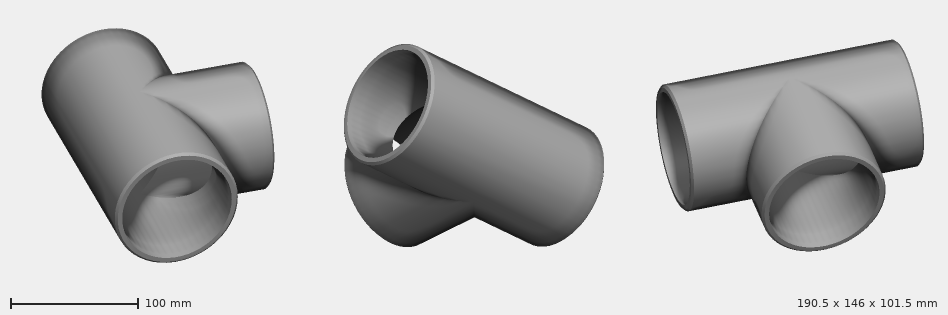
import cadquery as cq

run_length = 190.5
branch_reach = run_length / 2
outer_diameter = 101.5
bore_diameter = 90.3
end_chamfer = 2.0


def cylinder_along_run(diameter):
    return cq.Workplane("YZ").circle(diameter / 2).extrude(run_length / 2, both=True)


def cylinder_along_branch(diameter):
    return cq.Workplane("XZ").circle(diameter / 2).extrude(-branch_reach)


run = cylinder_along_run(outer_diameter).faces("<X or >X").chamfer(end_chamfer)
branch = cylinder_along_branch(outer_diameter).faces(">Y").chamfer(end_chamfer)

result = (
    run.union(branch)
    .cut(cylinder_along_run(bore_diameter))
    .cut(cylinder_along_branch(bore_diameter))
)